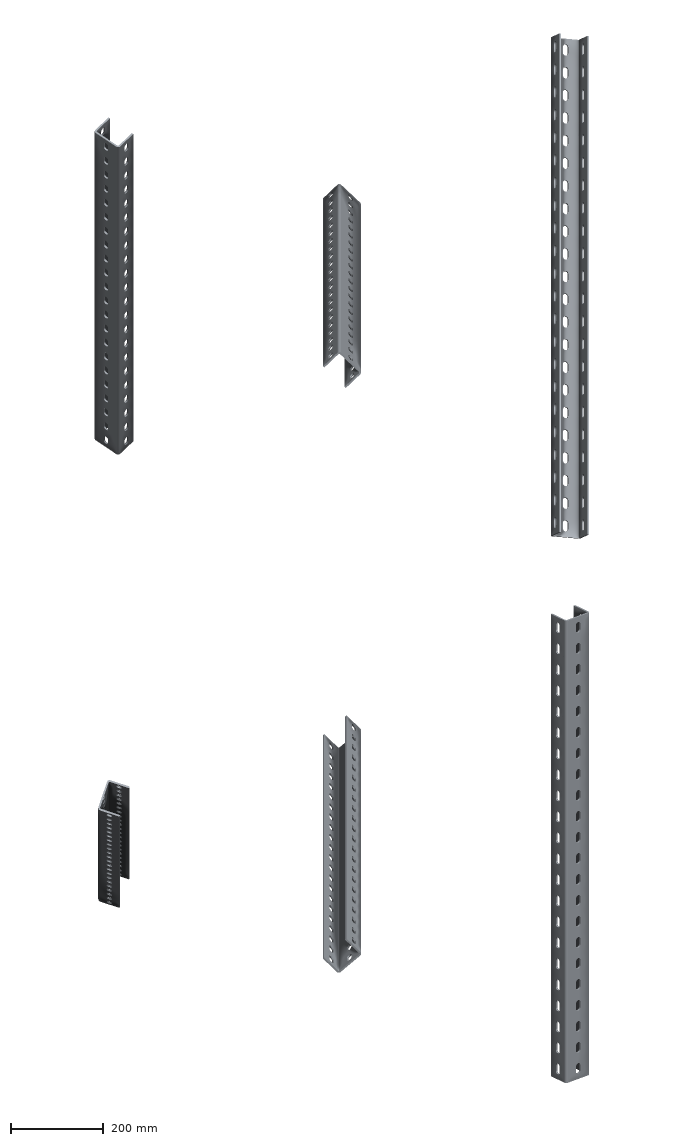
import cadquery as cq

width = 70.0
depth = 50.0

thickness = 4.0
inner_bend_radius = 2.0
outer_bend_radius = inner_bend_radius + thickness

slot_pitch = 50.0
slot_count = 22
slot_length = 25.0
slot_width = 12.5
flange_slot_offset = 27.0
vertical_angle = 90

length = slot_count * slot_pitch
slot_heights = [(index + 0.5) * slot_pitch for index in range(slot_count)]

def make_channel():
    """Bent sheet channel, centred on X, with the web's outer face at Y = 0."""
    outer = (
        cq.Workplane("XY")
        .rect(width, depth)
        .extrude(length)
        .edges("|Z and <Y")
        .fillet(outer_bend_radius)
    )
    inner = (
        cq.Workplane("XY")
        .center(0, thickness)
        .rect(width - 2 * thickness, depth)
        .extrude(length)
        .edges("|Z and <Y")
        .fillet(inner_bend_radius)
    )
    return outer.cut(inner).translate((0, depth / 2, 0))

def make_web_slots():
    """Vertical obround cutters through the web only."""
    return (
        cq.Workplane("XZ")
        .pushPoints([(0, height) for height in slot_heights])
        .slot2D(slot_length, slot_width, vertical_angle)
        .extrude(depth / 2, both=True)
    )

def make_flange_slots():
    """Vertical obround cutters through both flanges."""
    return (
        cq.Workplane("YZ")
        .pushPoints([(flange_slot_offset, height) for height in slot_heights])
        .slot2D(slot_length, slot_width, vertical_angle)
        .extrude(width, both=True)
    )

result = make_channel().cut(make_web_slots()).cut(make_flange_slots())